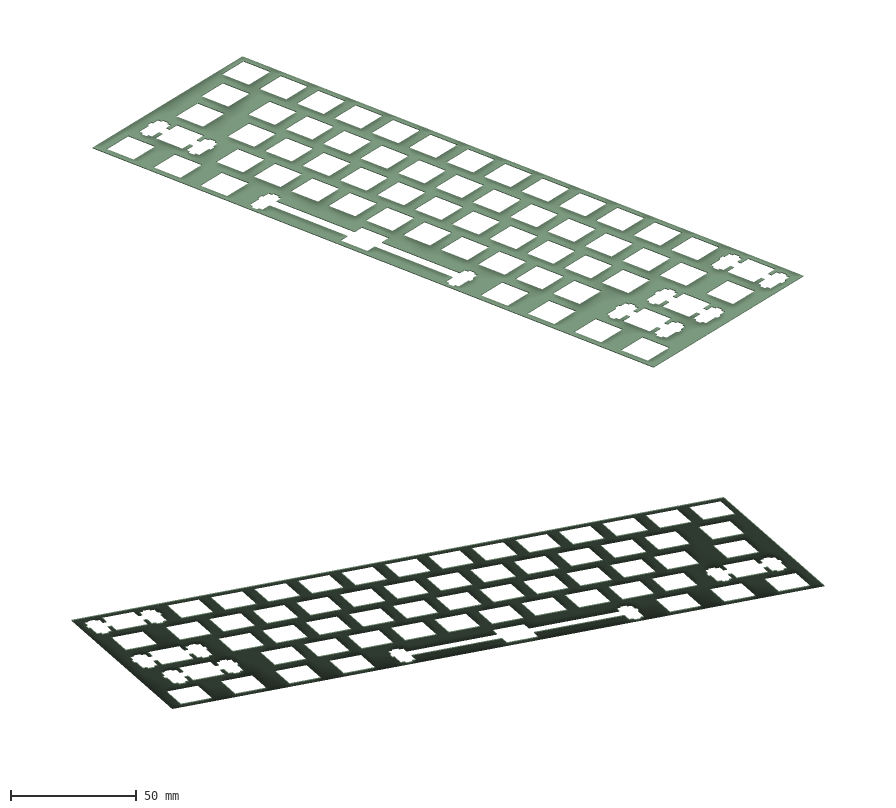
import cadquery as cq

PLATE_LENGTH = 285.8
PLATE_THICKNESS = 0.4
UNITS_ACROSS = 15
ROW_COUNT = 5
KEY_UNIT = PLATE_LENGTH / UNITS_ACROSS
PLATE_WIDTH = ROW_COUNT * KEY_UNIT

BRIDGE_WIDTH = 5.1
SWITCH_SIZE = KEY_UNIT - BRIDGE_WIDTH

STABILIZER_OFFSET = 12.0
SPACEBAR_STABILIZER_OFFSET = 50.0
TAB_WIDTH = 3.1
SHOULDER_WIDTH = 1.8
BODY_WIDTH = TAB_WIDTH + 2 * SHOULDER_WIDTH
BODY_TOP = 5.5
BODY_BOTTOM_INSET = 0.17
BODY_BOTTOM = -SWITCH_SIZE / 2 + BODY_BOTTOM_INSET
TOP_TAB_HEIGHT = 0.95
BOTTOM_TAB_HEIGHT = 1.1
SIDE_NOTCH_DEPTH = 0.83
SIDE_NOTCH_TOP = 2.3
SIDE_NOTCH_BOTTOM = -0.51
CHANNEL_HALF_HEIGHT = 2.3

KEY_ROWS = [
    [1] * 13 + [2],
    [1.5] + [1] * 12 + [1.5],
    [1.75] + [1] * 11 + [2.25],
    [2.25] + [1] * 10 + [2.75],
    [1.25] * 3 + [6.25] + [1.25] * 4,
]
STABILIZED_KEY_WIDTH = 2
SPACEBAR_KEY_WIDTH = 6.25


def cutter(left, right, bottom, top):
    """Rectangular block through the plate thickness."""
    block = cq.Workplane("XY").box(right - left, top - bottom, PLATE_THICKNESS)
    return block.translate(((left + right) / 2, (bottom + top) / 2, 0))


def switch_cutter():
    """Square switch opening around the key centre."""
    half_size = SWITCH_SIZE / 2
    return cutter(-half_size, half_size, -half_size, half_size)


def right_stabilizer_cutter(offset):
    """Stabilizer body with its top and bottom tabs and its outer side notch."""
    body_left = offset - BODY_WIDTH / 2
    body_right = offset + BODY_WIDTH / 2
    tab_left = offset - TAB_WIDTH / 2
    tab_right = offset + TAB_WIDTH / 2
    body = cutter(body_left, body_right, BODY_BOTTOM, BODY_TOP)
    tabs = cutter(tab_left, tab_right, BODY_BOTTOM - BOTTOM_TAB_HEIGHT, BODY_TOP + TOP_TAB_HEIGHT)
    side_notch = cutter(offset, body_right + SIDE_NOTCH_DEPTH, SIDE_NOTCH_BOTTOM, SIDE_NOTCH_TOP)
    return body.union(tabs).union(side_notch)


def stabilized_cutter(offset):
    """Switch opening joined by a wire channel to a mirrored pair of stabilizer openings."""
    right_side = right_stabilizer_cutter(offset)
    left_side = right_side.mirror("YZ")
    channel = cutter(-offset, offset, -CHANNEL_HALF_HEIGHT, CHANNEL_HALF_HEIGHT)
    return switch_cutter().union(channel).union(right_side).union(left_side)


def key_cutter(key_width):
    """Opening that suits a key of the given width in key units."""
    if key_width >= SPACEBAR_KEY_WIDTH:
        return stabilized_cutter(SPACEBAR_STABILIZER_OFFSET)
    if key_width >= STABILIZED_KEY_WIDTH:
        return stabilized_cutter(STABILIZER_OFFSET)
    return switch_cutter()


def all_key_cutters():
    """One opening per key, each placed at the centre of its key."""
    solids = []
    for row_index, key_widths in enumerate(KEY_ROWS):
        center_y = PLATE_WIDTH / 2 - (row_index + 0.5) * KEY_UNIT
        key_left = -PLATE_LENGTH / 2
        for key_width in key_widths:
            key_length = key_width * KEY_UNIT
            center_x = key_left + key_length / 2
            solids.append(key_cutter(key_width).translate((center_x, center_y, 0)).val())
            key_left += key_length
    return cq.Compound.makeCompound(solids)


plate = cq.Workplane("XY").box(PLATE_LENGTH, PLATE_WIDTH, PLATE_THICKNESS)
result = cq.Workplane("XY").newObject([plate.cut(cq.Workplane(all_key_cutters())).solids().val()])